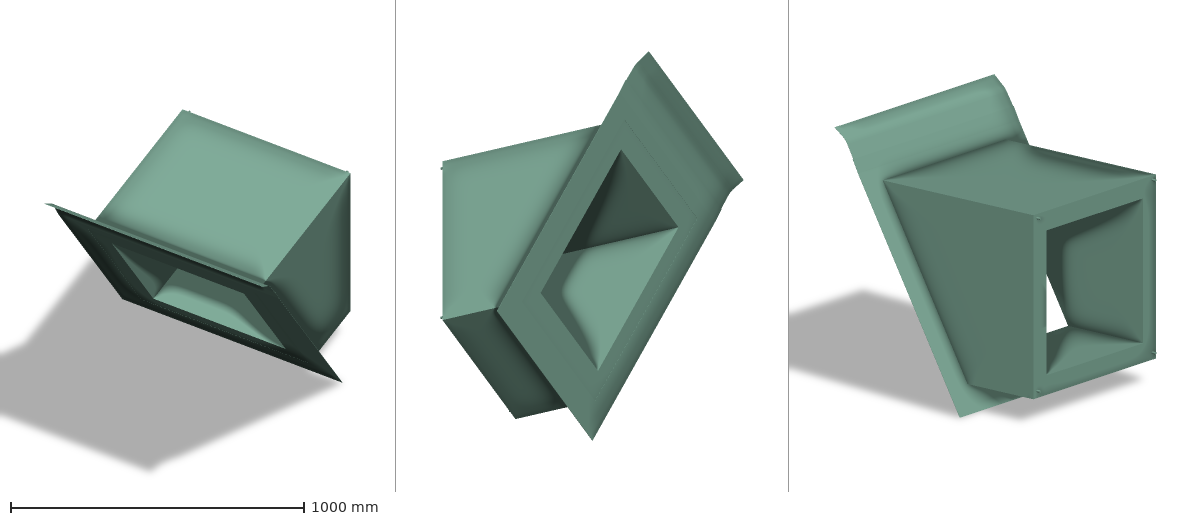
import cadquery as cq
import math

OVERALL_HEIGHT = 927.0
OVERALL_DEPTH = 817.0

SHEET_WIDTH = 856.0
SHEET_THICKNESS = 1.0
SLOPE = math.radians(60)
SHEET_THICKNESS_Y = SHEET_THICKNESS / math.sin(SLOPE)
FOOT_Y = -243.0
JOGGLE_START_Z = 783.0
JOGGLE_END_Z = 830.0
JOGGLE_OFFSET = 3.0
LIP_SLOPE = math.radians(38)
LIP_BEND_RADIUS = 65.0

UPPER_WIDTH = 850.0
WAIST_WIDTH = 846.0
WAIST_Z = 899.0

BOX_SIZE = 654.0
BOX_BOTTOM_Z = 88.0
TUNNEL_SIZE = 515.0
BOX_CENTER_Z = BOX_BOTTOM_Z + BOX_SIZE / 2

PIN_DIAMETER = 8.0
PIN_LENGTH = 15.0
PIN_SPACING = 614.0
PIN_RISE = 6.0

TIP_Y = PIN_LENGTH - OVERALL_DEPTH


def slope_y(z, setback=0.0):
    """Y at height z on the slope, moved rearward by setback square to the sheet."""
    return FOOT_Y - z / math.tan(SLOPE) + setback / math.sin(SLOPE)


def square_prism(size, start_y, length):
    """Square bar centred on the box, running from start_y toward -Y."""
    return (
        cq.Workplane("XZ", origin=(0, start_y, BOX_CENTER_Z))
        .rect(size, size)
        .extrude(length)
    )


def make_sheet():
    """Joggled sheet with a rounded lip, trimmed to its stepped width."""
    slope_rise = math.tan(SLOPE)
    lip_rise = math.tan(LIP_SLOPE)
    upper_foot_y = slope_y(0, JOGGLE_OFFSET)
    lip_foot_y = TIP_Y + OVERALL_HEIGHT / lip_rise
    bend_y = (slope_rise * upper_foot_y - lip_rise * lip_foot_y) / (slope_rise - lip_rise)
    bend_z = lip_rise * (lip_foot_y - bend_y)

    front = [
        (FOOT_Y, 0),
        (slope_y(JOGGLE_START_Z), JOGGLE_START_Z),
        (slope_y(JOGGLE_END_Z, JOGGLE_OFFSET), JOGGLE_END_Z),
        (bend_y, bend_z),
        (TIP_Y, OVERALL_HEIGHT),
    ]
    rear = [(y + SHEET_THICKNESS_Y, z) for y, z in front]
    sheet = (
        cq.Workplane("YZ")
        .polyline(front + rear[::-1])
        .close()
        .extrude(SHEET_WIDTH / 2, both=True)
    )
    bend_edges = cq.selectors.BoxSelector(
        (-SHEET_WIDTH, bend_y - SHEET_THICKNESS, bend_z - SHEET_THICKNESS),
        (SHEET_WIDTH, bend_y + 2 * SHEET_THICKNESS_Y, bend_z + SHEET_THICKNESS),
    )
    sheet = sheet.edges("|X").edges(bend_edges).fillet(LIP_BEND_RADIUS)

    right_side = [
        (SHEET_WIDTH / 2, 0),
        (SHEET_WIDTH / 2, JOGGLE_END_Z),
        (UPPER_WIDTH / 2, JOGGLE_END_Z),
        (WAIST_WIDTH / 2, WAIST_Z),
        (UPPER_WIDTH / 2, OVERALL_HEIGHT),
    ]
    left_side = [(-x, z) for x, z in reversed(right_side)]
    outline = (
        cq.Workplane("XZ")
        .polyline(right_side + left_side)
        .close()
        .extrude(OVERALL_DEPTH)
    )
    return sheet.intersect(outline)


def make_box():
    """Box whose front is cut along the slope, half a thickness behind the sheet's front."""
    top_z = BOX_BOTTOM_Z + BOX_SIZE
    recess = SHEET_THICKNESS / 2
    return (
        cq.Workplane("YZ")
        .moveTo(0, BOX_BOTTOM_Z)
        .lineTo(slope_y(BOX_BOTTOM_Z, recess), BOX_BOTTOM_Z)
        .lineTo(slope_y(top_z, recess), top_z)
        .lineTo(0, top_z)
        .close()
        .extrude(BOX_SIZE / 2, both=True)
    )


def make_pins():
    """Four pins on the rear face, sunk one length into the box for a sound joint."""
    return (
        cq.Workplane("XZ", origin=(0, PIN_LENGTH, BOX_CENTER_Z + PIN_RISE))
        .rect(PIN_SPACING, PIN_SPACING, forConstruction=True)
        .vertices()
        .circle(PIN_DIAMETER / 2)
        .extrude(2 * PIN_LENGTH)
    )


sheet = make_sheet().cut(square_prism(BOX_SIZE, 0, OVERALL_DEPTH))
tunnel = square_prism(TUNNEL_SIZE, 0, OVERALL_DEPTH)
result = sheet.union(make_box()).union(make_pins()).cut(tunnel)